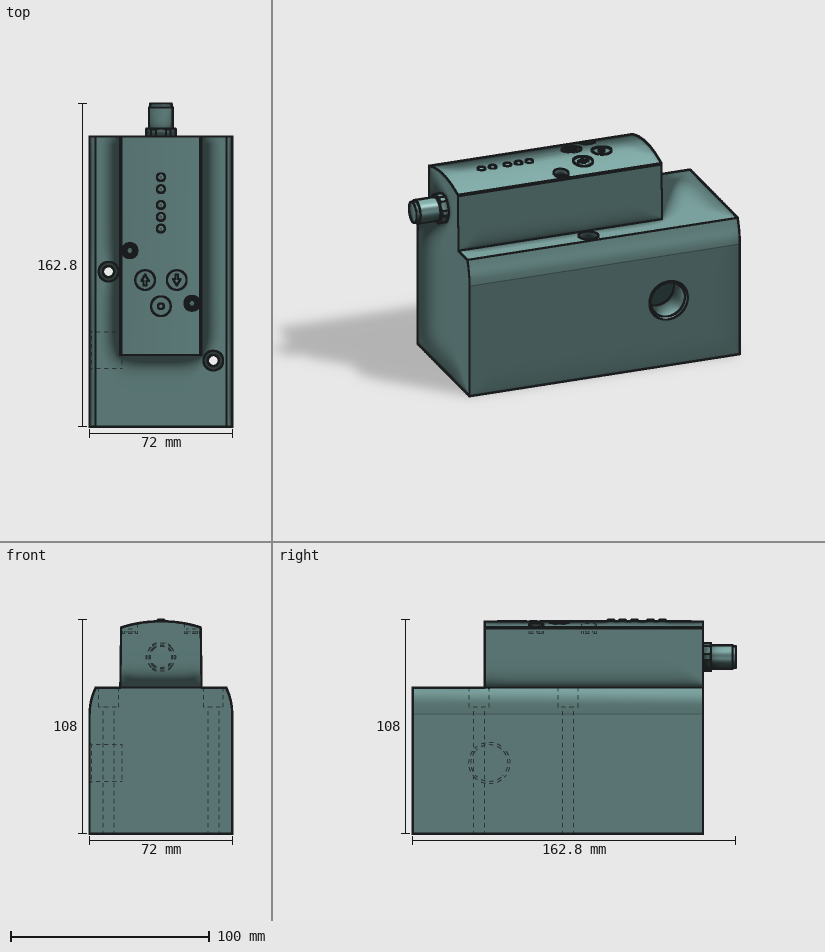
import cadquery as cq
import math


body_width = 72.0
body_length = 146.2
body_height = 73.6
top_flat_width = 65.8
shoulder_drop = 13.2

head_front = 36.1
head_base_width = 41.0
head_wall_top_width = 40.2
head_wall_top = 103.4
roof_width = 39.5
roof_edge = 104.0
roof_crest = 107.1

port_y = 38.6
port_z = 35.7
port_diameter = 18.5
port_mouth_diameter = 20.8
port_depth = 16.3

mount_places = [(-26.4, 78.1), (26.4, 33.4)]
mount_diameter = 5.5
mount_head_diameter = 10.0
mount_head_depth = 9.8

lamp_ys = [99.8, 105.7, 111.7, 119.7, 125.7]
lamp_diameter = 4.0
lamp_tip_diameter = 0.8
lamp_top = 108.0
lamp_rim = 107.0
lamp_root = 105.8

side_button_x = 8.0
side_button_y = 73.9
centre_button_y = 60.7
button_diameter = 10.0
button_recess = 0.5
button_root = 97.7
dot_diameter = 3.0
arrow_length = 5.5
arrow_head_length = 3.3
arrow_head_width = 3.7
arrow_stem_width = 1.5

screw_places = [(-15.6, 88.7), (15.6, 62.2)]
screw_pocket_diameter = 7.5
screw_pocket_floor = 101.0
screw_head_diameter = 5.5
screw_head_height = 2.3
screw_socket_corners = 3.9
screw_socket_depth = 1.6

connector_z = 89.0
nut_across_flats = 14.2
nut_corner_diameter = 15.0
nut_length = 4.0
nut_bevel = 0.5
sleeve_diameter = 12.0
sleeve_end = 160.8
tip_diameter = 11.0
tip_bevel_start = 161.8
tip_end_diameter = 10.7
connector_end = 162.8


def upright_disc(place, diameter, bottom, top):
    """Vertical cylinder centred on place, between two heights."""
    return (
        cq.Workplane("XY", origin=(place[0], place[1], bottom))
        .circle(diameter / 2)
        .extrude(top - bottom)
    )


def make_body():
    """Block with arc shoulders that run smoothly into the vertical sides."""
    half = body_width / 2
    inset = (body_width - top_flat_width) / 2
    radius = (inset**2 + shoulder_drop**2) / (2 * inset)
    half_angle = math.asin(shoulder_drop / radius) / 2
    mid_x = half - radius * (1 - math.cos(half_angle))
    shoulder_z = body_height - shoulder_drop
    mid_z = shoulder_z + radius * math.sin(half_angle)
    return (
        cq.Workplane("XZ")
        .moveTo(-half, 0)
        .lineTo(half, 0)
        .lineTo(half, shoulder_z)
        .threePointArc((mid_x, mid_z), (top_flat_width / 2, body_height))
        .lineTo(-top_flat_width / 2, body_height)
        .threePointArc((-mid_x, mid_z), (-half, shoulder_z))
        .close()
        .extrude(-body_length)
    )


def make_head():
    """Tapered housing with an arched roof, flush with the back of the body."""
    return (
        cq.Workplane("XZ", origin=(0, head_front, 0))
        .moveTo(-head_base_width / 2, body_height)
        .lineTo(head_base_width / 2, body_height)
        .lineTo(head_wall_top_width / 2, head_wall_top)
        .lineTo(roof_width / 2, roof_edge)
        .threePointArc((0, roof_crest), (-roof_width / 2, roof_edge))
        .lineTo(-head_wall_top_width / 2, head_wall_top)
        .close()
        .extrude(head_front - body_length)
    )


def make_port():
    """Blind port cutter entering from the -X side, with a bevelled mouth."""
    mouth_radius = port_mouth_diameter / 2
    bore_radius = port_diameter / 2
    bevel = mouth_radius - bore_radius
    return (
        cq.Workplane("XY", origin=(-body_width / 2, port_y, port_z))
        .lineTo(0, mouth_radius)
        .lineTo(bevel, bore_radius)
        .lineTo(port_depth, bore_radius)
        .lineTo(port_depth, 0)
        .close()
        .revolve(360, (0, 0, 0), (1, 0, 0))
    )


def make_mount_hole(place):
    """Through hole with a counterbore in the top of the body."""
    hole = upright_disc(place, mount_diameter, 0, body_height)
    return hole.union(
        upright_disc(place, mount_head_diameter, body_height - mount_head_depth, body_height)
    )


def make_lamp(lamp_y):
    """Domed lamp with a tiny flat at its tip."""
    rim_radius = lamp_diameter / 2
    tip_radius = lamp_tip_diameter / 2
    mid_radius = tip_radius + (rim_radius - tip_radius) * math.cos(math.pi / 4)
    mid_height = lamp_rim + (lamp_top - lamp_rim) * math.sin(math.pi / 4)
    return (
        cq.Workplane("XZ", origin=(0, lamp_y, 0))
        .moveTo(0, lamp_root)
        .lineTo(rim_radius, lamp_root)
        .lineTo(rim_radius, lamp_rim)
        .threePointArc((mid_radius, mid_height), (tip_radius, lamp_top))
        .lineTo(0, lamp_top)
        .close()
        .revolve(360, (0, 0, 0), (0, 1, 0))
    )


def make_dot():
    """Round symbol of the centre button."""
    return upright_disc((0, centre_button_y), dot_diameter, button_root, roof_crest)


def make_arrow(place, direction):
    """Arrow symbol centred on place, pointing to +Y (direction 1) or -Y (-1)."""
    tip_y = direction * arrow_length / 2
    neck_y = tip_y - direction * arrow_head_length
    return (
        cq.Workplane("XY", origin=(place[0], place[1], button_root))
        .moveTo(0, tip_y)
        .lineTo(arrow_head_width / 2, neck_y)
        .lineTo(arrow_stem_width / 2, neck_y)
        .lineTo(arrow_stem_width / 2, -tip_y)
        .lineTo(-arrow_stem_width / 2, -tip_y)
        .lineTo(-arrow_stem_width / 2, neck_y)
        .lineTo(-arrow_head_width / 2, neck_y)
        .close()
        .extrude(roof_crest - button_root)
    )


def make_button_recess(place, symbol):
    """Shallow round recess of even depth that leaves the symbol level with the roof."""
    recess_floor = make_head().translate((0, 0, -button_recess))
    return upright_disc(place, button_diameter, button_root, roof_crest).cut(recess_floor).cut(symbol)


def make_screw(place):
    """Screw head standing on the pocket floor, with a hexagon socket."""
    head_top = screw_pocket_floor + screw_head_height
    head = upright_disc(place, screw_head_diameter, screw_pocket_floor, head_top)
    socket = (
        cq.Workplane("XY", origin=(place[0], place[1], head_top - screw_socket_depth))
        .polygon(6, screw_socket_corners)
        .extrude(screw_socket_depth)
    )
    return head.cut(socket)


def make_connector():
    """Hexagon nut, round sleeve and stepped tip along +Y."""
    corner_radius = nut_corner_diameter / 2
    back = cq.Workplane("XZ", origin=(0, body_length, connector_z))
    hexagon = back.polygon(6, nut_across_flats / math.cos(math.pi / 6)).extrude(-nut_length)
    rounding = back.circle(corner_radius).extrude(-nut_length).faces(">Y").chamfer(nut_bevel)
    barrel = (
        cq.Workplane("XY", origin=(0, 0, connector_z))
        .moveTo(0, body_length)
        .lineTo(sleeve_diameter / 2, body_length)
        .lineTo(sleeve_diameter / 2, sleeve_end)
        .lineTo(tip_diameter / 2, sleeve_end)
        .lineTo(tip_diameter / 2, tip_bevel_start)
        .lineTo(tip_end_diameter / 2, connector_end)
        .lineTo(0, connector_end)
        .close()
        .revolve(360, (0, 0, 0), (0, 1, 0))
    )
    return hexagon.intersect(rounding).union(barrel)


result = make_body().union(make_head()).union(make_connector()).cut(make_port())

for mount_place in mount_places:
    result = result.cut(make_mount_hole(mount_place))

left_button = (-side_button_x, side_button_y)
right_button = (side_button_x, side_button_y)
centre_button = (0, centre_button_y)
buttons = [
    (left_button, make_arrow(left_button, 1)),
    (right_button, make_arrow(right_button, -1)),
    (centre_button, make_dot()),
]
for button_place, button_symbol in buttons:
    result = result.cut(make_button_recess(button_place, button_symbol))

for screw_place in screw_places:
    pocket = upright_disc(screw_place, screw_pocket_diameter, screw_pocket_floor, roof_crest)
    result = result.cut(pocket).union(make_screw(screw_place))

for lamp_y in lamp_ys:
    result = result.union(make_lamp(lamp_y))